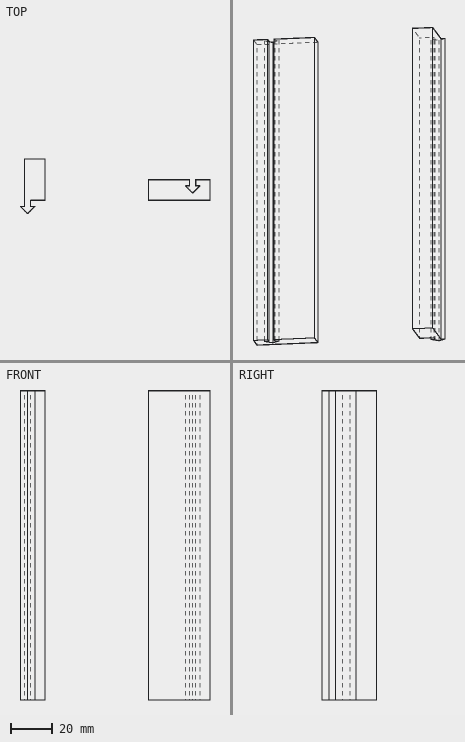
import cadquery as cq

length = 150.0
thickness = length / 15
neck_width = 3.0
neck_depth = neck_width
barb_overhang = thickness / 5
slab_x = 60.0

barb_depth = neck_width / 2 + barb_overhang
tongue_bar_depth = 2 * thickness
slab_width = 3 * thickness
slot_offset = 2 * thickness


def arrow_prism(neck_left, root_y):
    """Arrow pointing toward -Y, with its neck starting at root_y."""
    neck_right = neck_left + neck_width
    barb_y = root_y - neck_depth
    return (
        cq.Workplane("XY")
        .moveTo(neck_left, root_y)
        .lineTo(neck_left, barb_y)
        .lineTo(neck_left - barb_overhang, barb_y)
        .lineTo(neck_left + neck_width / 2, barb_y - barb_depth)
        .lineTo(neck_right + barb_overhang, barb_y)
        .lineTo(neck_right, barb_y)
        .lineTo(neck_right, root_y)
        .close()
        .extrude(length)
    )


def make_tongue_bar():
    """Bar with an arrow-shaped tongue flush with its left side."""
    bar = cq.Workplane("XY").box(thickness, tongue_bar_depth, length, centered=False)
    return bar.union(arrow_prism(0, 0))


def make_slotted_bar():
    """Bar with a full-height slot matching the tongue."""
    bar = (
        cq.Workplane("XY")
        .box(slab_width, thickness, length, centered=False)
        .translate((slab_x, 0, 0))
    )
    return bar.cut(arrow_prism(slab_x + slot_offset, thickness))


tongue_bar = make_tongue_bar()
slotted_bar = make_slotted_bar()
result = cq.Compound.makeCompound([tongue_bar.val(), slotted_bar.val()])